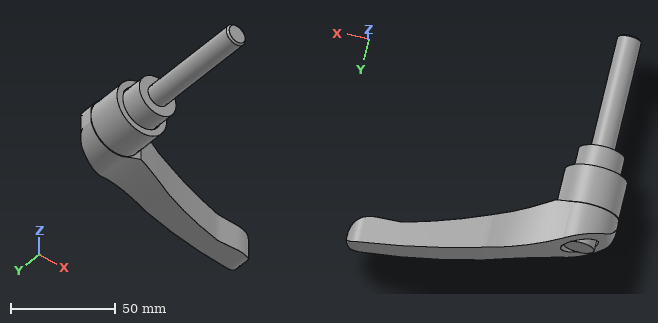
import cadquery as cq
import math


stud_diameter = 12.0
stud_chamfer = 1.0
insert_diameter = 23.0
insert_end_y = -31.5
hub_diameter = 31.0
hub_bottom_y = -19.6
recess_diameter = 23.7
recess_depth = 1.3

head_radius = 32.0 / 2
head_back_x = -hub_diameter / 2
head_back_y = 5.2
neck_x = 7.3
waist_end_x = 42.8
waist_half_width = 18.7 / 2
flat_length = 2.0
tip_start_x = 102.8
tip_half_width = 7.4
overall_length = 125.5
lever_end_x = overall_length + head_back_x
nose_overlap = 0.1
lever_top_y = 40.9
overall_height = 132.6
stud_end_y = lever_top_y - overall_height
grip_bottom_y = 26.5
grip_start_x = 85.1
grip_end_x = 97.0
grip_fillet = 13.3

head_corner_middle = (-14.6, 8.9)
head_corner_end = (-12.2, 11.3)
back_middle = (waist_end_x, 30.4)
back_end = (tip_start_x, lever_top_y - 0.1)
nose_top = (106.8, lever_top_y)
nose_top_middle = (109.0, 39.9)
nose_y = 37.7
nose_bottom_middle = (107.5, 30.5)
nose_bottom = (101.9, 27.2)
grip_end_middle = (99.5, 26.7)
underside_middle = (waist_end_x, 13.1)
underside_end = (19.5, 2.0)
neck_middle_x, neck_middle_half_width = 23.2, 9.7
taper_middle_x, taper_middle_half_width = 74.3, 8.6

screw_diameter = 15.0
screw_top_y = 17.2
bore_diameter = 17.0
bore_floor_y = 8.0


def cylinder(diameter, start_y, end_y):
    """Cylinder on the stud axis between two heights."""
    return (
        cq.Workplane("XZ", origin=(0, start_y, 0))
        .circle(diameter / 2)
        .extrude(start_y - end_y)
    )


def lever_side():
    """Curved lever outline seen along Z, extruded over the full head width.

    The nose runs slightly past the lever end, where the plan outline trims it.
    """
    nose_x = lever_end_x + nose_overlap
    profile = (
        cq.Workplane("XY", origin=(0, 0, -head_radius))
        .moveTo(head_back_x, 0)
        .lineTo(head_back_x, head_back_y)
        .threePointArc(head_corner_middle, head_corner_end)
        .threePointArc(back_middle, back_end)
        .lineTo(*nose_top)
        .threePointArc(nose_top_middle, (nose_x, nose_y))
        .threePointArc(nose_bottom_middle, nose_bottom)
        .threePointArc(grip_end_middle, (grip_end_x, grip_bottom_y))
        .lineTo(grip_start_x, grip_bottom_y)
        .threePointArc(underside_middle, underside_end)
        .lineTo(hub_diameter / 2, 0)
        .close()
        .extrude(2 * head_radius)
    )
    grip_corner = cq.selectors.NearestToPointSelector((grip_start_x, grip_bottom_y, 0))
    return profile.edges(grip_corner).fillet(grip_fillet)


def lever_plan():
    """Lever outline along the stud axis: round head, waist, taper and round tip."""
    neck_half_width = math.sqrt(head_radius**2 - neck_x**2)
    flat_end_x = waist_end_x + flat_length
    return (
        cq.Workplane("XZ")
        .moveTo(neck_x, neck_half_width)
        .threePointArc((neck_middle_x, neck_middle_half_width), (waist_end_x, waist_half_width))
        .lineTo(flat_end_x, waist_half_width)
        .threePointArc((taper_middle_x, taper_middle_half_width), (tip_start_x, tip_half_width))
        .threePointArc((lever_end_x, 0), (tip_start_x, -tip_half_width))
        .threePointArc((taper_middle_x, -taper_middle_half_width), (flat_end_x, -waist_half_width))
        .lineTo(waist_end_x, -waist_half_width)
        .threePointArc((neck_middle_x, -neck_middle_half_width), (neck_x, -neck_half_width))
        .threePointArc((-head_radius, 0), (neck_x, neck_half_width))
        .close()
        .extrude(-lever_top_y)
    )


lever = lever_side().intersect(lever_plan())
bore = cylinder(bore_diameter, lever_top_y, bore_floor_y)
screw = cylinder(screw_diameter, screw_top_y, 0)

hub = cylinder(hub_diameter, 0, hub_bottom_y)
recess = cylinder(recess_diameter, hub_bottom_y + recess_depth, hub_bottom_y)
insert = cylinder(insert_diameter, 0, insert_end_y)
stud = cylinder(stud_diameter, 0, stud_end_y).faces("<Y").chamfer(stud_chamfer)

result = lever.cut(bore).union(screw).union(hub.cut(recess)).union(insert).union(stud)